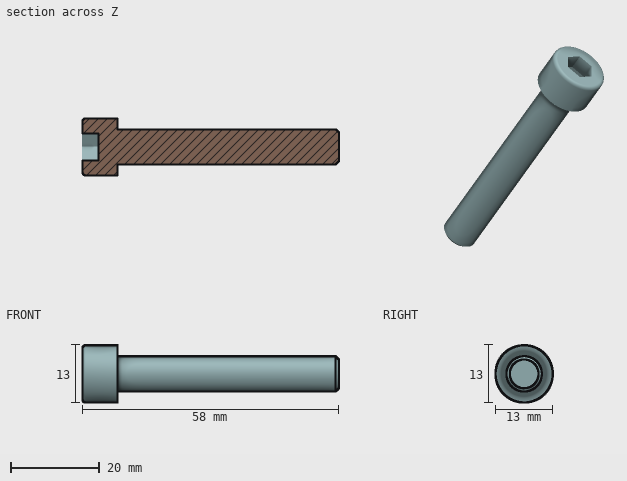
import cadquery as cq
import math

thread_diameter = 8.0
shank_length = 50.0
head_diameter = 13.0
head_height = thread_diameter
head_fillet = thread_diameter / 10
tip_chamfer = 0.75
socket_across_flats = 6.0
socket_depth = 3.6
socket_sides = 6
socket_turn = 90.0


def make_head():
    """Cylindrical head with its outer rim rounded."""
    head = cq.Workplane("YZ").workplane(offset=-head_height).circle(head_diameter / 2).extrude(head_height)
    return head.faces("<X").edges().fillet(head_fillet)


def make_shank():
    """Plain shank with a chamfered tip."""
    shank = cq.Workplane("YZ").circle(thread_diameter / 2).extrude(shank_length)
    return shank.faces(">X").edges().chamfer(tip_chamfer)


def make_socket():
    """Hexagonal recess with two flats facing +Y and -Y."""
    across_corners = socket_across_flats / math.cos(math.pi / socket_sides)
    return (
        cq.Workplane("YZ")
        .workplane(offset=-head_height)
        .transformed(rotate=(0, 0, socket_turn))
        .polygon(socket_sides, across_corners)
        .extrude(socket_depth)
    )


result = make_head().union(make_shank()).cut(make_socket())